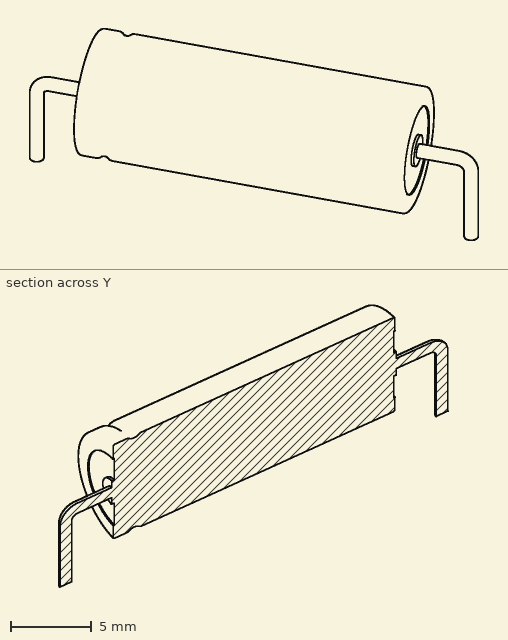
import cadquery as cq

overall_length = 28.9
overall_height = 10.03
can_diameter = 8.0
can_length = 21.0
edge_fillet = 0.17

groove_center = 1.6
groove_arc_width = 0.7
groove_lip_width = 0.17
groove_lip_depth = 0.1
groove_depth = 0.2

recess_diameter = 5.6
recess_depth = 0.1
collar_diameter = 2.0
collar_projection = 0.1

wire_diameter = 0.9
bend_radius = 0.87

can_radius = can_diameter / 2
can_end = can_length / 2
wire_drop = overall_height - can_radius
wire_x = (overall_length - wire_diameter) / 2


def make_can():
    """Cylinder with rounded rims and a rolled groove, revolved about X."""
    center = groove_center - can_end
    half_arc = groove_arc_width / 2
    half_mouth = half_arc + groove_lip_width
    lip_radius = can_radius - groove_lip_depth
    profile = (
        cq.Workplane("XZ")
        .moveTo(-can_end, 0)
        .lineTo(-can_end, can_radius - edge_fillet)
        .radiusArc((-can_end + edge_fillet, can_radius), edge_fillet)
        .lineTo(center - half_mouth, can_radius)
        .tangentArcPoint((center - half_arc, lip_radius), relative=False)
        .threePointArc((center, can_radius - groove_depth), (center + half_arc, lip_radius))
        .radiusArc((center + half_mouth, can_radius), lip_rounding())
        .lineTo(can_end - edge_fillet, can_radius)
        .radiusArc((can_end, can_radius - edge_fillet), edge_fillet)
        .lineTo(can_end, 0)
        .close()
    )
    return profile.revolve(360, (0, 0, 0), (1, 0, 0))


def lip_rounding():
    """Radius of the lip arc that runs tangent into the can wall."""
    return (groove_lip_width**2 + groove_lip_depth**2) / (2 * groove_lip_depth)


def disc(start_x, diameter, thickness):
    """Disc on the can axis, growing towards +X from start_x."""
    return cq.Workplane("YZ", origin=(start_x, 0, 0)).circle(diameter / 2).extrude(thickness)


def make_wire():
    """One wire running through the can and bent down at both ends."""
    bend_x = wire_x - bend_radius
    path = (
        cq.Workplane("XZ")
        .moveTo(-wire_x, -wire_drop)
        .lineTo(-wire_x, -bend_radius)
        .radiusArc((-bend_x, 0), bend_radius)
        .lineTo(bend_x, 0)
        .radiusArc((wire_x, -bend_radius), bend_radius)
        .lineTo(wire_x, -wire_drop)
    )
    tip = cq.Workplane("XY", origin=(-wire_x, 0, -wire_drop))
    return tip.circle(wire_diameter / 2).sweep(path)


can = make_can()
for recess_start in (-can_end, can_end - recess_depth):
    can = can.cut(disc(recess_start, recess_diameter, recess_depth))

collar_end = can_end + collar_projection
collars = disc(-collar_end, collar_diameter, 2 * collar_end)

result = can.union(collars).union(make_wire())